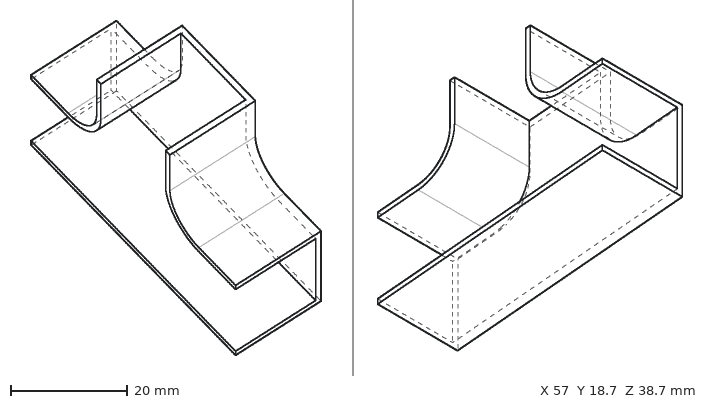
import cadquery as cq

wall = 1.2
channel_width = 18.0
channel_depth = 17.5
bend_radius = 8.0
straight_length = 10.3

outer_width = channel_width + 2 * wall
depth = channel_depth + wall
reach = bend_radius + straight_length
half_length = outer_width / 2 + reach
total_height = outer_width + reach


def tee_prism(half_branch, run_bottom, run_top, radius, y_length):
    """Extrude a T outline with rounded inner corners from Y = 0 toward +Y."""
    bend_x = half_branch + radius
    bend_z = run_top + radius
    arc_offset = radius * 0.5 ** 0.5
    arc_x = bend_x - arc_offset
    arc_z = bend_z - arc_offset
    return (
        cq.Workplane("XZ")
        .moveTo(-half_length, run_bottom)
        .lineTo(half_length, run_bottom)
        .lineTo(half_length, run_top)
        .lineTo(bend_x, run_top)
        .threePointArc((arc_x, arc_z), (half_branch, bend_z))
        .lineTo(half_branch, total_height)
        .lineTo(-half_branch, total_height)
        .lineTo(-half_branch, bend_z)
        .threePointArc((-arc_x, arc_z), (-bend_x, run_top))
        .lineTo(-half_length, run_top)
        .close()
        .extrude(-y_length)
    )


body = tee_prism(outer_width / 2, 0, outer_width, bend_radius, depth)

channel = tee_prism(
    channel_width / 2, wall, outer_width - wall, bend_radius + wall, channel_depth
)

result = body.cut(channel)